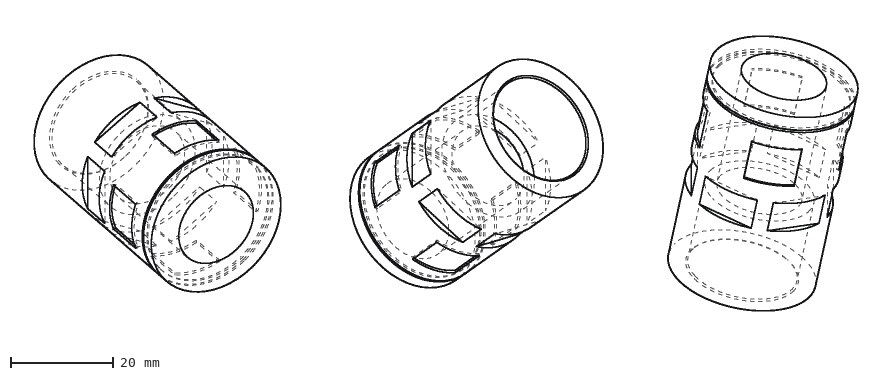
import cadquery as cq

LENGTH = 45.0
OUTER_DIAMETER = 29.5

SOCKET_DIAMETER = 21.83
MOUTH_DIAMETER = 22.5
PASSAGE_DIAMETER = 17.0

FLAT_COUNT = 6
ACROSS_FLATS = 27.0
FLATS_START = 18.5
FLATS_LENGTH = 6.5

WINDOW_COUNT = 4
WINDOW_START = 29.0
WINDOW_LENGTH = 8.5
WINDOW_WIDTH = 10.0
WINDOW_FLOOR_DIAMETER = 28.5

COLLAR_LENGTH = 3.0
GROOVE_WIDTH = 0.5
GROOVE_DIAMETER = 27.5

SOCKET_DEPTH = FLATS_START
MOUTH_CHAMFER = (MOUTH_DIAMETER - SOCKET_DIAMETER) / 2
GROOVE_START = LENGTH - COLLAR_LENGTH - GROOVE_WIDTH


def cylinder(start, length, diameter):
    """Solid cylinder on the X axis."""
    return cq.Workplane("YZ", origin=(start, 0, 0)).circle(diameter / 2).extrude(length)


def ring(start, length, inner_diameter):
    """Cutter that reduces the body to inner_diameter over a stretch of X."""
    blank = cylinder(start, length, 2 * OUTER_DIAMETER)
    return blank.cut(cylinder(start, length, inner_diameter))


def make_body():
    """Sleeve with a chamfered socket and a narrower passage through the rest."""
    body = cylinder(0, LENGTH, OUTER_DIAMETER)
    body = body.cut(cylinder(0, LENGTH, PASSAGE_DIAMETER))
    body = body.cut(cylinder(0, SOCKET_DEPTH, SOCKET_DIAMETER))
    mouth = cq.Solid.makeCone(
        MOUTH_DIAMETER / 2,
        SOCKET_DIAMETER / 2,
        MOUTH_CHAMFER,
        pnt=cq.Vector(0, 0, 0),
        dir=cq.Vector(1, 0, 0),
    )
    return body.cut(cq.Workplane(obj=mouth))


def cut_wrench_flats(body):
    """Cut the flats with one block per side, turned about the X axis."""
    depth = OUTER_DIAMETER / 2
    block = cq.Workplane("XY").box(FLATS_LENGTH, depth, OUTER_DIAMETER, centered=(False, False, True))
    block = block.translate((FLATS_START, ACROSS_FLATS / 2, 0))
    for index in range(FLAT_COUNT):
        body = body.cut(block.rotate((0, 0, 0), (1, 0, 0), index * 360 / FLAT_COUNT))
    return body


def cut_windows(body):
    """Cut straight-sided windows whose floors are concentric with the body."""
    block = cq.Workplane("XY").box(
        WINDOW_LENGTH, OUTER_DIAMETER, WINDOW_WIDTH, centered=(False, False, True)
    )
    block = block.translate((WINDOW_START, 0, 0))
    window = block.intersect(ring(WINDOW_START, WINDOW_LENGTH, WINDOW_FLOOR_DIAMETER))
    for index in range(WINDOW_COUNT):
        body = body.cut(window.rotate((0, 0, 0), (1, 0, 0), index * 360 / WINDOW_COUNT))
    return body


def cut_groove(body):
    """Cut the ring groove that sets off the end collar."""
    return body.cut(ring(GROOVE_START, GROOVE_WIDTH, GROOVE_DIAMETER))


result = cut_groove(cut_windows(cut_wrench_flats(make_body())))